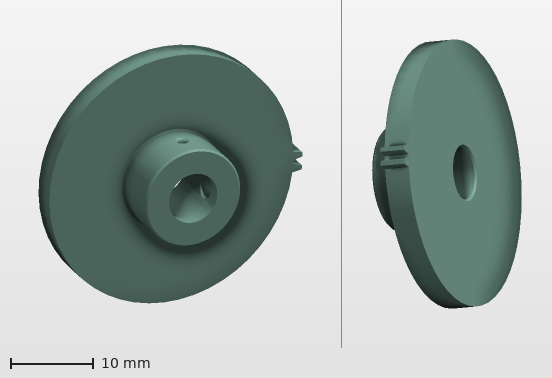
import cadquery as cq
import math

disk_radius = 16.25
disk_thickness = 3.17

hub_radius = 6.37
total_length = 9.55
hub_length = total_length - disk_thickness
hub_middle = disk_thickness + hub_length / 2
hub_edge = 0.25

bore_radius = 3.2
bore_chamfer = 0.25

tooth_count = 64
teeth_present = 2
tooth_pitch = 360 / tooth_count
tip_radius = 17.45
tip_half_width = 0.27
root_half_width = 0.57
tooth_embed = 0.35
root_fillet = 0.15

screw_radius = 1.7
dimple_radius = 0.9
dimple_angle = 118
dimple_depth = dimple_radius / math.tan(math.radians(dimple_angle / 2))


def make_tooth(index):
    """Straight-flanked tooth, stepped around the X axis from +Y toward -Z."""
    foot_radius = disk_radius - tooth_embed
    flank_slope = (root_half_width - tip_half_width) / (tip_radius - disk_radius)
    foot_half_width = root_half_width + tooth_embed * flank_slope
    return (
        cq.Workplane("YZ")
        .moveTo(foot_radius, -foot_half_width)
        .lineTo(tip_radius, -tip_half_width)
        .lineTo(tip_radius, tip_half_width)
        .lineTo(foot_radius, foot_half_width)
        .close()
        .extrude(disk_thickness)
        .rotate((0, 0, 0), (1, 0, 0), -index * tooth_pitch)
    )


def root_selector(index, side):
    """Box around the root edge on one side (+1 or -1) of a tooth."""
    angle = math.atan2(side * root_half_width, disk_radius) - math.radians(index * tooth_pitch)
    y = disk_radius * math.cos(angle)
    z = disk_radius * math.sin(angle)
    reach = 0.07
    return cq.selectors.BoxSelector(
        (0, y - reach, z - reach), (disk_thickness, y + reach, z + reach)
    )


def make_toothed_disk():
    disk = cq.Workplane("YZ").circle(disk_radius).extrude(disk_thickness)
    for index in range(teeth_present):
        disk = disk.union(make_tooth(index))
    for index, side in [(0, 1), (0, -1), (1, 1)]:
        disk = disk.edges("|X").edges(root_selector(index, side)).fillet(root_fillet)
    return disk


def make_hub():
    """Hub revolved about X, with a flared root fillet and a chamfered end."""
    return (
        cq.Workplane("XY")
        .moveTo(disk_thickness, 0)
        .lineTo(disk_thickness, hub_radius + hub_edge)
        .radiusArc((disk_thickness + hub_edge, hub_radius), -hub_edge)
        .lineTo(total_length - hub_edge, hub_radius)
        .lineTo(total_length, hub_radius - hub_edge)
        .lineTo(total_length, 0)
        .close()
        .revolve(360, (0, 0, 0), (1, 0, 0))
    )


def make_bore():
    """Bore cutter, widened by a chamfer at the disk face."""
    return (
        cq.Workplane("XY")
        .lineTo(0, bore_radius + bore_chamfer)
        .lineTo(bore_chamfer, bore_radius)
        .lineTo(total_length, bore_radius)
        .lineTo(total_length, 0)
        .close()
        .revolve(360, (0, 0, 0), (1, 0, 0))
    )


def radial_cylinder(start, end):
    """Cylinder of the screw diameter along +Y between two radii."""
    return cq.Workplane(
        cq.Solid.makeCylinder(
            screw_radius, end - start, cq.Vector(hub_middle, start, 0), cq.Vector(0, 1, 0)
        )
    )


def make_dimple():
    """Conical cutter whose full width is reached at the top of the hub."""
    tip = cq.Vector(hub_middle, 0, hub_radius - dimple_depth)
    return cq.Workplane(
        cq.Solid.makeCone(0, dimple_radius, dimple_depth, tip, cq.Vector(0, 0, 1))
    )


def make_wheel():
    wheel = make_toothed_disk().union(make_hub())
    wheel = wheel.cut(make_bore())
    wheel = wheel.cut(radial_cylinder(0, hub_radius))
    return wheel.cut(make_dimple())


def make_set_screw():
    """Flat-ended screw from the bore to the hub surface."""
    return radial_cylinder(bore_radius, hub_radius)


wheel = make_wheel()
set_screw = make_set_screw()
result = cq.Compound.makeCompound([wheel.val(), set_screw.val()])